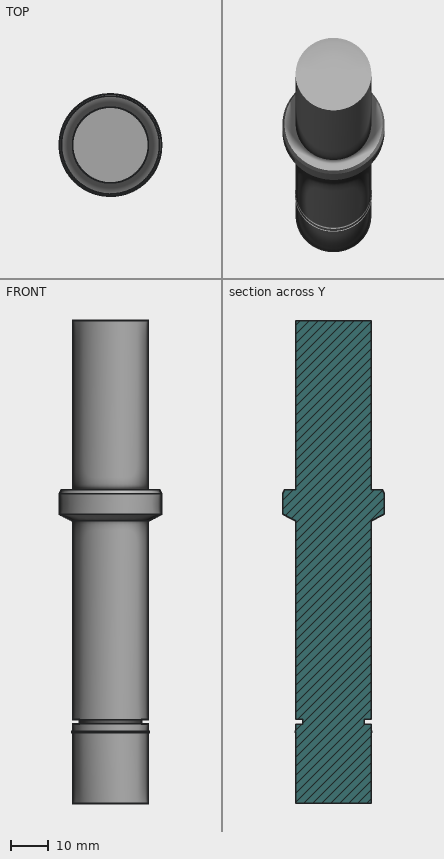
import cadquery as cq

shaft_length = 127.2
shaft_diameter = 20.0

collar_diameter = 27.0
collar_top = 82.7
collar_chamfer_height = 1.1
collar_chamfer_width = 0.57
collar_rim_bottom = 76.2
collar_taper_height = 1.8

groove_diameter = 16.4
groove_bottom = 21.0
groove_width = 1.1
band_diameter = 20.4
band_bottom = 18.7
band_width = 0.4


def make_shaft():
    return cq.Workplane("XY").circle(shaft_diameter / 2).extrude(shaft_length)


def make_collar():
    shaft_radius = shaft_diameter / 2
    collar_radius = collar_diameter / 2
    taper_bottom = collar_rim_bottom - collar_taper_height
    half_profile = [
        (0, taper_bottom),
        (shaft_radius, taper_bottom),
        (collar_radius, collar_rim_bottom),
        (collar_radius, collar_top - collar_chamfer_height),
        (collar_radius - collar_chamfer_width, collar_top),
        (0, collar_top),
    ]
    return cq.Workplane("XZ").polyline(half_profile).close().revolve(360, (0, 0), (0, 1))


def make_groove():
    """Ring of material to remove so that the retaining groove is left in the shaft."""
    return (
        cq.Workplane("XY")
        .workplane(offset=groove_bottom)
        .circle(collar_diameter / 2)
        .circle(groove_diameter / 2)
        .extrude(groove_width)
    )


def make_band():
    return (
        cq.Workplane("XY")
        .workplane(offset=band_bottom)
        .circle(band_diameter / 2)
        .extrude(band_width)
    )


result = make_shaft().union(make_collar()).union(make_band()).cut(make_groove())